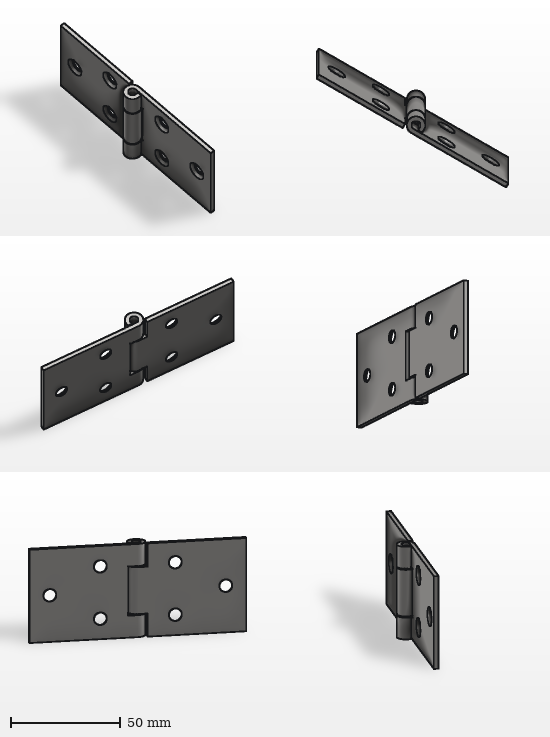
import cadquery as cq

HINGE_WIDTH = 101.0
HINGE_HEIGHT = 44.5

SHEET = 2.2
BORE_RADIUS = 2.0
BARREL_RADIUS = BORE_RADIUS + SHEET
CURL_END_GAP = 0.5

KNUCKLE_GAP = 0.6
END_KNUCKLE = 10.5
MIDDLE_KNUCKLE = HINGE_HEIGHT - 2 * (END_KNUCKLE + KNUCKLE_GAP)
NOTCH_EDGE = 4.5

HOLE_DIAMETER = 6.0
SINK_DIAMETER = 9.0
SINK_DEPTH = 1.5
INNER_HOLE_X = 17.5
OUTER_HOLE_X = 41.0
INNER_HOLE_Z = 12.5
HOLE_CENTRES = [
    (OUTER_HOLE_X, 0),
    (INNER_HOLE_X, INNER_HOLE_Z),
    (INNER_HOLE_X, -INNER_HOLE_Z),
]


def make_plate():
    """Flat part of a leaf on the +X side, from its notched edge outwards."""
    return cq.Workplane("XY").box(
        HINGE_WIDTH / 2 - NOTCH_EDGE, SHEET, HINGE_HEIGHT, centered=(False, False, True)
    ).translate((NOTCH_EDGE, BORE_RADIUS, 0))


def make_knuckle(bottom, height):
    """Sheet running from a leaf on the +X side and curling round the bore."""
    curl_end = BORE_RADIUS - CURL_END_GAP
    return (
        cq.Workplane("XY", origin=(0, 0, bottom))
        .moveTo(NOTCH_EDGE, BARREL_RADIUS)
        .lineTo(0, BARREL_RADIUS)
        .threePointArc((-BARREL_RADIUS, 0), (0, -BARREL_RADIUS))
        .radiusArc((BARREL_RADIUS, 0), -BARREL_RADIUS)
        .lineTo(BARREL_RADIUS, curl_end)
        .lineTo(BORE_RADIUS, curl_end)
        .lineTo(BORE_RADIUS, 0)
        .radiusArc((0, -BORE_RADIUS), BORE_RADIUS)
        .threePointArc((-BORE_RADIUS, 0), (0, BORE_RADIUS))
        .lineTo(NOTCH_EDGE, BORE_RADIUS)
        .close()
        .extrude(height)
    )


def cut_screw_holes(leaf):
    """Holes through the leaf, countersunk on the barrel side."""
    through_radius = HOLE_DIAMETER / 2
    sink_radius = SINK_DIAMETER / 2
    cutter = (
        cq.Workplane("XY")
        .lineTo(sink_radius, 0)
        .lineTo(through_radius, SINK_DEPTH)
        .lineTo(through_radius, SHEET)
        .lineTo(0, SHEET)
        .close()
        .revolve(360, (0, 0, 0), (0, 1, 0))
    )
    for x, z in HOLE_CENTRES:
        leaf = leaf.cut(cutter.translate((x, BORE_RADIUS, z)))
    return leaf


def make_leaf(knuckles):
    """Complete leaf on the +X side with the given (bottom, height) knuckles."""
    leaf = make_plate()
    for bottom, height in knuckles:
        leaf = leaf.union(make_knuckle(bottom, height))
    return cut_screw_holes(leaf)


right_leaf = make_leaf([
    (-HINGE_HEIGHT / 2, END_KNUCKLE),
    (HINGE_HEIGHT / 2 - END_KNUCKLE, END_KNUCKLE),
])

left_leaf = make_leaf([(-MIDDLE_KNUCKLE / 2, MIDDLE_KNUCKLE)]).mirror("YZ")

result = cq.Compound.makeCompound([right_leaf.val(), left_leaf.val()])